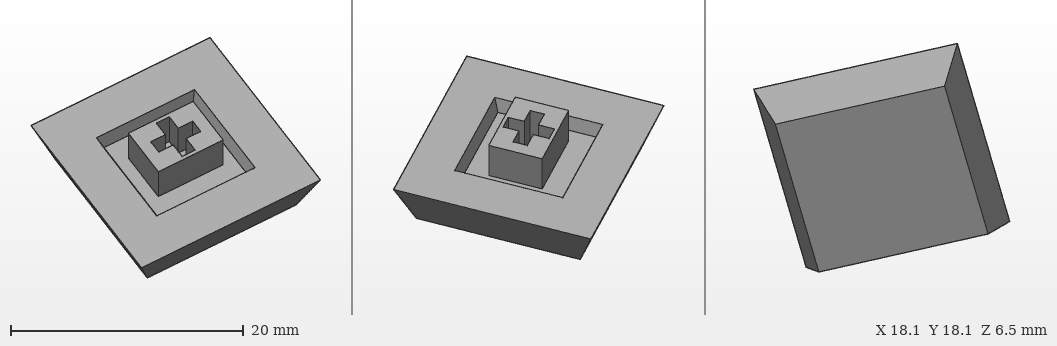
import cadquery as cq
import math

top_width = 18.09
total_height = 6.5
body_height = 4.21
wall_draft = math.radians(20)

recess_floor_width = 9.0
recess_depth = 1.23

stem_length_x = 4.9
stem_length_y = 6.55
cross_span = 4.23
cross_arm_width = 1.3

recess_floor_z = body_height - recess_depth
stem_height = total_height - recess_floor_z
cross_depth = stem_height


def square_frustum(bottom_width, upper_width, bottom_z, height):
    """Centred square block whose width changes evenly from bottom to top."""
    return (
        cq.Workplane("XY", origin=(0, 0, bottom_z))
        .rect(bottom_width, bottom_width)
        .workplane(offset=height)
        .rect(upper_width, upper_width)
        .loft(ruled=True)
    )


def widening(height):
    """Growth in width of a drafted block over the given height."""
    return 2 * height * math.tan(wall_draft)


def cross_socket():
    """Cutter for the cross, reaching down from the top of the stem."""
    plane = cq.Workplane("XY", origin=(0, 0, total_height))
    arm_x = plane.rect(cross_span, cross_arm_width).extrude(-cross_depth)
    arm_y = plane.rect(cross_arm_width, cross_span).extrude(-cross_depth)
    return arm_x.union(arm_y)


body = square_frustum(top_width - widening(body_height), top_width, 0, body_height)

recess = square_frustum(
    recess_floor_width, recess_floor_width + widening(recess_depth), recess_floor_z, recess_depth
)

stem = (
    cq.Workplane("XY", origin=(0, 0, recess_floor_z))
    .rect(stem_length_x, stem_length_y)
    .extrude(stem_height)
)

result = body.cut(recess).union(stem).cut(cross_socket())